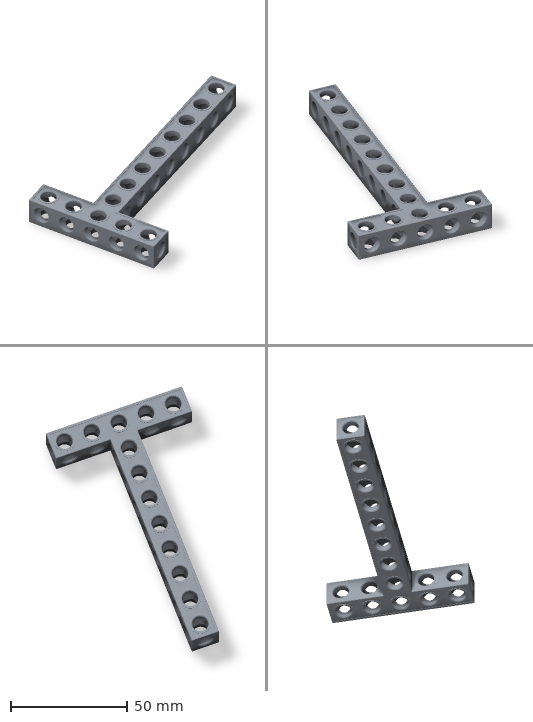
import cadquery as cq

part_length = 112.5
crossbar_cells = 5
stem_cells = 8
pitch = part_length / (stem_cells + 1)
half_cell = pitch / 2
crossbar_length = crossbar_cells * pitch
edge_chamfer = 0.2

hole_diameter = 7.0
mouth_diameter = 7.6
mouth_depth = (mouth_diameter - hole_diameter) / 2

first_side_hole_y = 12.9
last_side_hole_y = stem_cells * pitch
side_hole_pitch = (last_side_hole_y - first_side_hole_y) / (stem_cells - 1)

recess_depth = 0.2
rim_width = 1.1
collar_diameter = 9.2

crossbar_xs = [(i - (crossbar_cells - 1) / 2) * pitch for i in range(crossbar_cells)]
stem_ys = [(i + 1) * pitch for i in range(stem_cells)]
side_hole_ys = [first_side_hole_y + i * side_hole_pitch for i in range(stem_cells)]
vertical_spots = [(x, 0) for x in crossbar_xs] + [(0, y) for y in stem_ys]


def tee(inset, height):
    """T-shaped plate centred on the XY plane, its outline moved inwards by inset."""
    width = pitch - 2 * inset
    stem_length = part_length - 2 * inset
    crossbar = cq.Workplane("XY").box(crossbar_length - 2 * inset, width, height)
    stem = cq.Workplane("XY").center(0, (part_length - pitch) / 2).box(width, stem_length, height)
    return crossbar.union(stem).clean()


def make_beam():
    """Solid T with chamfered edges; the two inner corners beside the stem stay sharp."""
    blank = tee(0, pitch)
    corner_reach = half_cell + edge_chamfer
    inner_corners = blank.edges("|Z").edges(
        cq.selectors.BoxSelector(
            (-corner_reach, half_cell - edge_chamfer, -edge_chamfer),
            (corner_reach, half_cell + edge_chamfer, edge_chamfer),
        )
    )
    sharp_edges = inner_corners.vals()
    outer_edges = [edge for edge in blank.edges().vals() if edge not in sharp_edges]
    return blank.newObject(outer_edges).chamfer(edge_chamfer)


def bore(start, direction, length):
    """Cutter for a round through hole with a conical mouth at each end."""
    start = cq.Vector(*start)
    axis = cq.Vector(*direction)
    end = start + axis * length
    cutter = cq.Workplane(cq.Solid.makeCylinder(hole_diameter / 2, length, start, axis))
    for mouth, inward in ((start, axis), (end, -axis)):
        cone = cq.Solid.makeCone(mouth_diameter / 2, hole_diameter / 2, mouth_depth, mouth, inward)
        cutter = cutter.union(cq.Workplane(cone))
    return cutter


def cut_recesses(body):
    """Lower the top and bottom faces inside the rim, except on the collars."""
    collars = cq.Workplane("XY").pushPoints(vertical_spots).circle(collar_diameter / 2)
    collars = collars.extrude(recess_depth, both=True)
    recess = tee(rim_width, recess_depth).cut(collars)
    offset = half_cell - recess_depth / 2
    for side in (-1, 1):
        body = body.cut(recess.translate((0, 0, side * offset)))
    return body


def cut_holes(body):
    """Cut the vertical holes, the holes along Y and the holes along X."""
    for x, y in vertical_spots:
        body = body.cut(bore((x, y, -half_cell), (0, 0, 1), pitch))
    for x in crossbar_xs:
        length = part_length if x == 0 else pitch
        body = body.cut(bore((x, -half_cell, 0), (0, 1, 0), length))
    for y in side_hole_ys:
        body = body.cut(bore((-half_cell, y, 0), (1, 0, 0), pitch))
    return body.cut(bore((-crossbar_length / 2, 0, 0), (1, 0, 0), crossbar_length))


result = cut_holes(cut_recesses(make_beam()))